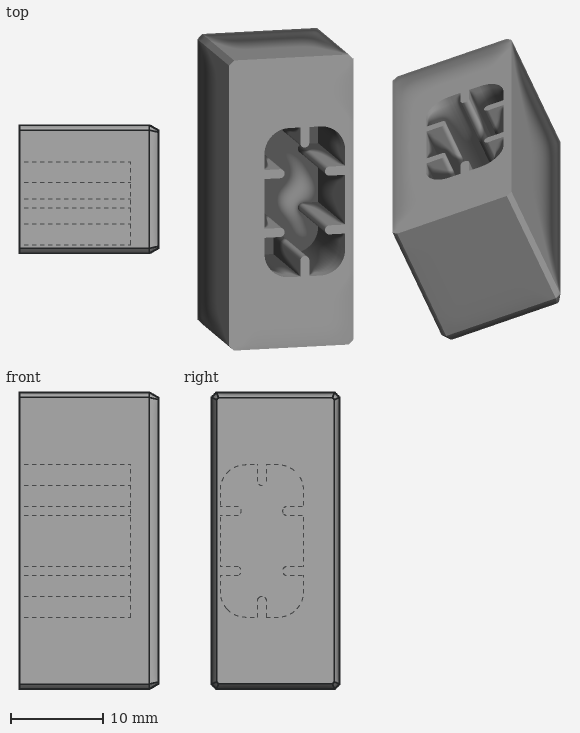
import cadquery as cq

length_x = 15.08
width_y = 13.89
height_z = 32.1
edge_chamfer = 0.55
end_chamfer_length = 1.0
end_chamfer_angle = 30.0

pocket_width = 9.0
pocket_height = 16.5
pocket_depth = 12.0
pocket_corner_radius = 2.75
pocket_center_y = -1.5

rib_thickness = 1.0
rib_reach = 2.25
side_rib_spacing = 6.5
rib_root = 0.5


def make_block():
    """Chamfered bar with its -X face at X = 0 and a bevelled +X end."""
    straight_length = length_x - end_chamfer_length
    bar = (
        cq.Workplane("YZ")
        .rect(width_y, height_z)
        .extrude(straight_length)
        .edges("|X")
        .chamfer(edge_chamfer)
    )
    return (
        bar.faces(">X")
        .wires()
        .toPending()
        .workplane()
        .extrude(end_chamfer_length, taper=end_chamfer_angle)
    )


def make_rib(wall_y, wall_z, direction):
    """Rib starting at a pocket wall and pointing at the given angle in the YZ plane."""
    tip_radius = rib_thickness / 2
    straight_reach = rib_reach - tip_radius
    return (
        cq.Workplane("YZ")
        .moveTo(-rib_root, -tip_radius)
        .lineTo(straight_reach, -tip_radius)
        .threePointArc((rib_reach, 0), (straight_reach, tip_radius))
        .lineTo(-rib_root, tip_radius)
        .close()
        .extrude(pocket_depth)
        .rotate((0, 0, 0), (1, 0, 0), direction)
        .translate((0, wall_y, wall_z))
    )


def make_pocket():
    """Rounded pocket volume with the six ribs left out of it."""
    pocket = (
        cq.Workplane("YZ")
        .center(pocket_center_y, 0)
        .rect(pocket_width, pocket_height)
        .extrude(pocket_depth)
        .edges("|X")
        .fillet(pocket_corner_radius)
    )
    for side in (-1, 1):
        pocket = pocket.cut(make_rib(pocket_center_y, side * pocket_height / 2, -side * 90))

        wall_y = pocket_center_y + side * pocket_width / 2
        inward = 180 if side > 0 else 0
        for level in (-1, 1):
            pocket = pocket.cut(make_rib(wall_y, level * side_rib_spacing / 2, inward))
    return pocket


result = make_block().cut(make_pocket())